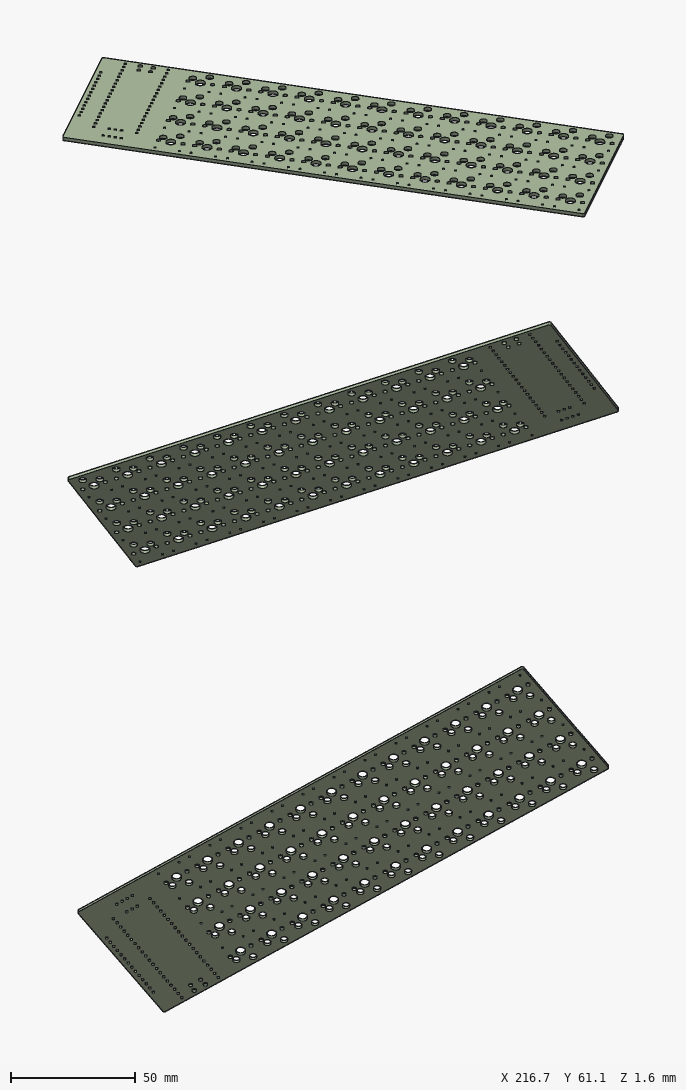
import cadquery as cq

BOARD_LENGTH = 216.69
BOARD_WIDTH = 61.12
BOARD_THICKNESS = 1.6
CORNER_RADIUS = 0.8

GRID_PITCH = 2.54

KEY_COLUMNS = 12
KEY_ROWS = 4
KEY_PITCH = 15.081
FIRST_KEY_X = 42.86
FIRST_KEY_Y = 7.94

STEM_DIAMETER = 3.99
PEG_DIAMETER = 1.7
PEG_OFFSET_X = 2 * GRID_PITCH
CONTACT_DIAMETER = 3.0
CONTACT_OFFSETS = [
    (-1.5 * GRID_PITCH, GRID_PITCH),
    (GRID_PITCH, 2 * GRID_PITCH),
]
DIODE_DIAMETER = 0.8
DIODE_SPAN = 4 * GRID_PITCH
DIODE_OFFSET_Y = -5.56

MODULE_X = 19.05
MODULE_Y = 34.925
MODULE_PINS_PER_SIDE = 20
MODULE_ROW_SPACING = 7 * GRID_PITCH
MODULE_PIN_DIAMETER = 1.02
DEBUG_PIN_COUNT = 3
DEBUG_OFFSET_Y = -23.9
OUTER_PEG_DIAMETER = 1.8
OUTER_PEG_OFFSET_X = 2.725
OUTER_PEG_OFFSET_Y = 24.0
INNER_PEG_DIAMETER = 1.5
INNER_PEG_OFFSET_X = 2.425
INNER_PEG_OFFSET_Y = 20.97

HEADER_PIN_DIAMETER = 1.0
SIDE_HEADER_PINS = 14
SIDE_HEADER_X = 2.38
SIDE_HEADER_Y = 33.82
LOWER_HEADER_PINS = 4
LOWER_HEADER_X = 19.2
LOWER_HEADER_Y = 5.55


def line_of_points(count, pitch_x, pitch_y, middle_x, middle_y):
    """Evenly spaced points along a line, centred on the given middle."""
    steps = [i - (count - 1) / 2 for i in range(count)]
    return [(middle_x + s * pitch_x, middle_y + s * pitch_y) for s in steps]


def mirrored_pair(center, offset_x, offset_y):
    """Two points either side of a centre, at the same height."""
    x, y = center
    return [(x - offset_x, y + offset_y), (x + offset_x, y + offset_y)]


def drill(board, points, diameter):
    """Drill a through hole at each point."""
    cutters = cq.Workplane("XY").pushPoints(points).circle(diameter / 2).extrude(BOARD_THICKNESS)
    return board.cut(cutters)


def make_board():
    blank = cq.Workplane("XY").box(BOARD_LENGTH, BOARD_WIDTH, BOARD_THICKNESS, centered=False)
    return blank.edges("|Z").fillet(CORNER_RADIUS)


def drill_switches(board):
    columns = [FIRST_KEY_X + i * KEY_PITCH for i in range(KEY_COLUMNS)]
    rows = [FIRST_KEY_Y + j * KEY_PITCH for j in range(KEY_ROWS)]
    centers = [(x, y) for x in columns for y in rows]
    pegs = []
    contacts = []
    diodes = []
    for x, y in centers:
        pegs += mirrored_pair((x, y), PEG_OFFSET_X, 0)
        contacts += [(x + dx, y + dy) for dx, dy in CONTACT_OFFSETS]
        diodes += mirrored_pair((x, y), DIODE_SPAN / 2, DIODE_OFFSET_Y)
    board = drill(board, centers, STEM_DIAMETER)
    board = drill(board, pegs, PEG_DIAMETER)
    board = drill(board, contacts, CONTACT_DIAMETER)
    return drill(board, diodes, DIODE_DIAMETER)


def drill_module(board):
    center = (MODULE_X, MODULE_Y)
    pins = line_of_points(DEBUG_PIN_COUNT, GRID_PITCH, 0, MODULE_X, MODULE_Y + DEBUG_OFFSET_Y)
    for side in (-1, 1):
        row_x = MODULE_X + side * MODULE_ROW_SPACING / 2
        pins += line_of_points(MODULE_PINS_PER_SIDE, 0, GRID_PITCH, row_x, MODULE_Y)
    outer_pegs = mirrored_pair(center, OUTER_PEG_OFFSET_X, OUTER_PEG_OFFSET_Y)
    inner_pegs = mirrored_pair(center, INNER_PEG_OFFSET_X, INNER_PEG_OFFSET_Y)
    board = drill(board, pins, MODULE_PIN_DIAMETER)
    board = drill(board, outer_pegs, OUTER_PEG_DIAMETER)
    return drill(board, inner_pegs, INNER_PEG_DIAMETER)


def drill_headers(board):
    side_header = line_of_points(SIDE_HEADER_PINS, 0, GRID_PITCH, SIDE_HEADER_X, SIDE_HEADER_Y)
    lower_header = line_of_points(LOWER_HEADER_PINS, GRID_PITCH, 0, LOWER_HEADER_X, LOWER_HEADER_Y)
    return drill(board, side_header + lower_header, HEADER_PIN_DIAMETER)


result = drill_headers(drill_module(drill_switches(make_board())))